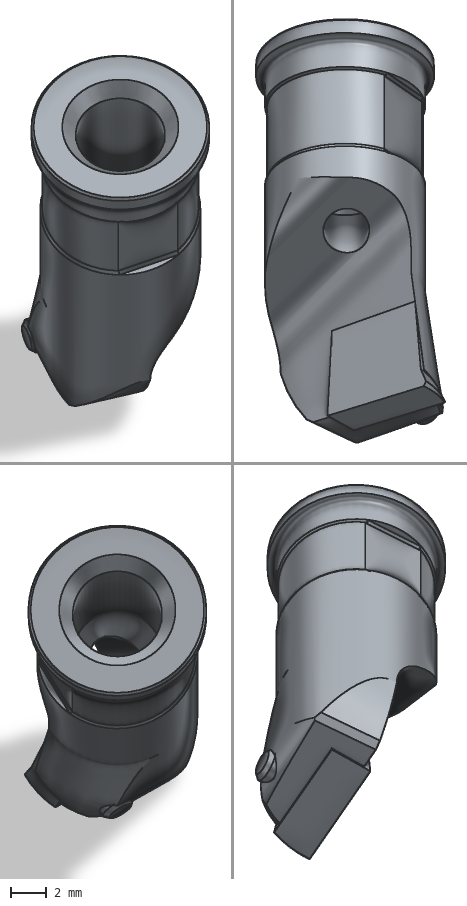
import cadquery as cq
import math

total_height = 23.0
flange_radius = 10.0 / 2
flange_edge_chamfer = 0.14
flange_bottom = total_height - 0.97
collar_radius = 4.5
collar_top = total_height - 1.43
collar_bottom = total_height - 2.88
neck_radius = 4.4
neck_top = total_height - 3.0
neck_bottom = total_height - 7.78
body_top = total_height - 8.0
body_radius = collar_radius

flat_distance = 4.0
flat_top = total_height - 3.05
flat_bevel = 0.14

bore_radius = 2.5
countersink_radius = 3.27
bore_shoulder = total_height - 8.47
drill_point_angle = 118.0
coolant_radius = 1.3
coolant_start = total_height - 9.13
coolant_tilt = 35.0
coolant_heading = 125.0
coolant_x = -0.12
coolant_length = 9.2
coolant_lead_in = 1.85

gullet_tilt = 30.0
gullet_ramp_angle = 30.0
gullet_inner_radius = 3.0
gullet_outer_radius = 2.07
gullet_ramp_end = 3.55
gullet_wall_top = 6.97
gullet_wall_y = -0.07

flare_top = 8.05
flare_slope = 0.135
flare_bottom = 0.7
flare_bevel_radius = 5.06
flare_bevel_bottom = 0.23

underside_clearance = 5.0
heel_clearance = 4.0
edge_tilt = 2.6
floor_start = 0.5
floor_right = 2.25
heel_corner = (2.72, 0.83)
heel_mid = (3.73, 2.42)
heel_top = (4.5, 4.37)
heel_run_out = (5.9, 8.97)
front_round_top = 2.12
front_round_mid = (-4.03, 0.97)
front_round_end = (-2.65, 0.35)

insert_tip_radius = 5.7
insert_nose_radius = 5.85
insert_nose_height = 0.3
insert_shoulder_z = 1.27
insert_axis_y = 0.18
insert_right = 0.97
insert_top = 5.98
insert_seat_front = 1.35
insert_seat_back = 1.08
insert_back = -2.19
rake_rise = 0.37
insert_end_clearance = 5.2

pin_radius = 1.0
pin_x = -2.53
pin_z = 1.82
pin_face = -4.65
pin_chamfer = 0.28
pin_length = 1.93

reach = 13.8


def flare_radius(z):
    return body_radius + flare_slope * (flare_top - z)


def make_shank():
    """Turned blank: flange, collar, necked groove and cutting body."""
    fillet = flange_bottom - collar_top
    profile = (
        cq.Workplane("XZ")
        .moveTo(0, 0)
        .lineTo(body_radius, 0)
        .lineTo(body_radius, body_top)
        .lineTo(neck_radius, neck_bottom)
        .lineTo(neck_radius, neck_top)
        .lineTo(collar_radius, collar_bottom)
        .lineTo(collar_radius, collar_top)
        .radiusArc((collar_radius + fillet, flange_bottom), fillet)
        .lineTo(flange_radius, flange_bottom)
        .lineTo(flange_radius, total_height - flange_edge_chamfer)
        .lineTo(flange_radius - flange_edge_chamfer, total_height)
        .lineTo(0, total_height)
        .close()
    )
    return profile.revolve(360, (0, 0, 0), (0, 1, 0))


def make_flat_cutters():
    """Two opposite flats in the neck groove, beveled at both ends."""
    cutter = (
        cq.Workplane("XZ")
        .moveTo(flat_distance, neck_bottom)
        .lineTo(flat_distance + flat_bevel, body_top)
        .lineTo(reach, body_top)
        .lineTo(reach, collar_bottom)
        .lineTo(flat_distance + flat_bevel, collar_bottom)
        .lineTo(flat_distance, flat_top)
        .close()
        .extrude(reach, both=True)
    )
    return cutter.union(cutter.mirror("YZ"))


def make_flare():
    """Conical quarter at -X, -Y, trimmed flush with the front of the body."""
    cone = (
        cq.Workplane("XZ")
        .moveTo(0, flare_bevel_bottom)
        .lineTo(flare_bevel_radius, flare_bevel_bottom)
        .lineTo(flare_radius(flare_bottom), flare_bottom)
        .lineTo(body_radius, flare_top)
        .lineTo(0, flare_top)
        .close()
        .revolve(360, (0, 0, 0), (0, 1, 0))
    )
    quadrant = cq.Workplane("XY").box(reach, body_radius, reach, centered=False)
    quadrant = quadrant.translate((-reach, -body_radius, 0))
    return cone.intersect(quadrant)


def make_bore_cutter():
    """Countersunk blind bore and the slanted coolant hole from its drill point."""
    point_height = bore_radius / math.tan(math.radians(drill_point_angle / 2))
    bore = (
        cq.Workplane("XZ")
        .moveTo(0, bore_shoulder - point_height)
        .lineTo(bore_radius, bore_shoulder)
        .lineTo(bore_radius, total_height - (countersink_radius - bore_radius))
        .lineTo(countersink_radius, total_height)
        .lineTo(0, total_height)
        .close()
        .revolve(360, (0, 0, 0), (0, 1, 0))
    )
    tilt = math.radians(coolant_tilt)
    heading = math.radians(coolant_heading)
    direction = cq.Vector(
        math.sin(tilt) * math.cos(heading), math.sin(tilt) * math.sin(heading), -math.cos(tilt)
    )
    start = cq.Vector(coolant_x, 0, coolant_start) - direction * coolant_lead_in
    coolant = cq.Solid.makeCylinder(coolant_radius, coolant_length, start, direction)
    return bore.union(cq.Workplane(coolant))


def make_gullet_cutter():
    """Wall, concave arc, ramp and convex arc, swept and tilted about Y."""
    ramp = math.radians(gullet_ramp_angle)
    turn = math.pi / 2 - ramp
    inner_start = gullet_inner_radius * (1 - math.cos(turn))
    inner_top = gullet_inner_radius * math.sin(turn)
    inner_mid = (
        gullet_inner_radius * (1 - math.cos(turn / 2)),
        gullet_inner_radius * math.sin(turn / 2),
    )
    ramp_top = inner_top + (gullet_ramp_end - inner_start) * math.tan(ramp)
    center = (
        gullet_ramp_end - gullet_outer_radius * math.sin(ramp),
        ramp_top + gullet_outer_radius * math.cos(ramp),
    )
    mid_angle = (ramp + math.pi / 2) / 2
    outer_mid = (
        center[0] + gullet_outer_radius * math.sin(mid_angle),
        center[1] - gullet_outer_radius * math.cos(mid_angle),
    )
    outer_end = (center[0] + gullet_outer_radius, center[1])
    cutter = (
        cq.Workplane("YZ")
        .moveTo(0, -reach)
        .lineTo(0, 0)
        .threePointArc(inner_mid, (inner_start, inner_top))
        .lineTo(gullet_ramp_end, ramp_top)
        .threePointArc(outer_mid, outer_end)
        .lineTo(reach, outer_end[1])
        .lineTo(reach, -reach)
        .close()
        .extrude(reach, both=True)
    )
    cutter = cutter.rotate((0, 0, 0), (0, 1, 0), gullet_tilt)
    return cutter.translate((0, gullet_wall_y, gullet_wall_top))


def make_sheared_prism(outline, length, rise, drift):
    """Sweep an XZ outline toward -Y, rising and drifting toward -X per unit of length."""
    path = cq.Vector(-drift * length, -length, rise * length)
    return cq.Workplane(cq.Solid.extrudeLinear(outline, [], path))


def make_end_envelope():
    """Space the cutting end may fill: above the floor, inside the heel and the rounded front."""
    rise = math.tan(math.radians(underside_clearance))
    drift = math.tan(math.radians(heel_clearance))
    ceiling = 3 * total_height
    floor_left = floor_start - (floor_right + reach) * math.tan(math.radians(edge_tilt))
    outline = (
        cq.Workplane("XZ", origin=(reach * drift, reach, -reach * rise))
        .moveTo(-reach, floor_left)
        .lineTo(floor_right, floor_start)
        .lineTo(*heel_corner)
        .threePointArc(heel_mid, heel_top)
        .lineTo(*heel_run_out)
        .lineTo(heel_run_out[0], ceiling)
        .lineTo(-reach, ceiling)
        .close()
        .val()
    )
    envelope = make_sheared_prism(outline, 2 * reach, rise, drift)
    front = (
        cq.Workplane("YZ")
        .moveTo(-body_radius, front_round_top)
        .threePointArc(front_round_mid, front_round_end)
        .lineTo(reach, front_round_end[1] - (reach - front_round_end[0]) * rise)
        .lineTo(reach, ceiling)
        .lineTo(-reach, ceiling)
        .lineTo(-reach, front_round_top)
        .close()
        .extrude(reach, both=True)
    )
    return envelope.intersect(front)


def make_insert():
    """Cutting insert: raked front, conical flank and a foot seated in the holder."""
    flank = (
        cq.Workplane("XZ", origin=(0, insert_axis_y, 0))
        .lineTo(insert_tip_radius, 0)
        .lineTo(insert_nose_radius, insert_nose_height)
        .lineTo(flare_radius(insert_shoulder_z), insert_shoulder_z)
        .lineTo(flare_radius(insert_top), insert_top)
        .lineTo(0, insert_top)
        .close()
        .revolve(360, (0, 0, 0), (0, 1, 0))
    )
    side = (
        cq.Workplane("YZ")
        .moveTo(gullet_wall_y, insert_top)
        .lineTo(rake_rise, 0)
        .lineTo(insert_back, 0)
        .lineTo(insert_back, insert_seat_back)
        .lineTo(gullet_wall_y, insert_seat_front)
        .close()
        .extrude(reach, both=True)
    )
    edge_rise = (insert_right + insert_tip_radius) * math.tan(math.radians(edge_tilt))
    end_outline = (
        cq.Workplane("XZ", origin=(0, rake_rise, 0))
        .moveTo(-insert_nose_radius, 0)
        .lineTo(-insert_tip_radius, 0)
        .lineTo(insert_right, edge_rise)
        .lineTo(insert_right, insert_top)
        .lineTo(-insert_nose_radius, insert_top)
        .close()
        .val()
    )
    end_rise = math.tan(math.radians(insert_end_clearance))
    end = make_sheared_prism(end_outline, rake_rise - insert_back, end_rise, 0)
    return flank.intersect(side).intersect(end)


def make_pin():
    """Chamfered pin standing slightly proud of the front."""
    pin = (
        cq.Workplane("XZ", origin=(pin_x, pin_face, pin_z))
        .circle(pin_radius)
        .extrude(-pin_length)
    )
    return pin.faces("<Y").chamfer(pin_chamfer)


insert = make_insert()
pin = make_pin()
holder = (
    make_shank()
    .cut(make_flat_cutters())
    .union(make_flare())
    .cut(make_bore_cutter())
    .cut(make_gullet_cutter())
    .intersect(make_end_envelope())
    .cut(insert)
    .cut(pin)
)

result = cq.Compound.makeCompound([holder.val(), insert.val(), pin.val()])